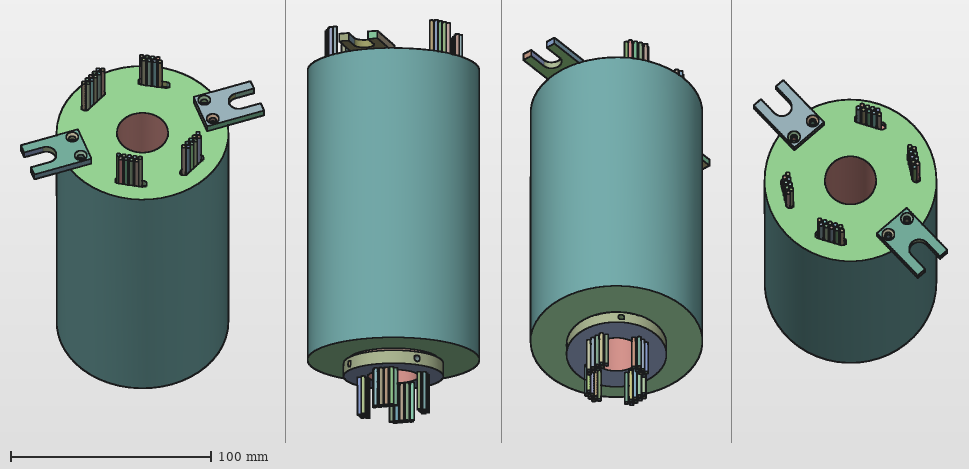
import cadquery as cq
import math

BODY_DIAMETER = 86.0
BODY_HEIGHT = 150.0
BORE_DIAMETER = 25.5

NECK_DIAMETER = 45.0
NECK_HEIGHT = 1.8
COLLAR_DIAMETER = 50.0
COLLAR_HEIGHT = 6.7
COLLAR_BOTTOM = -NECK_HEIGHT - COLLAR_HEIGHT

SET_SCREW_DIAMETER = 3.1
SET_SCREW_DEPTH = 6.0
SET_SCREW_ANGLES = (45, 135, 225, 315)

TAB_WIDTH = 20.0
TAB_LENGTH = 30.3
TAB_THICKNESS = 4.0
TAB_REACH = 61.0
TAB_ANGLES = (0, 180)
FORK_WIDTH = 10.0
FORK_DEPTH = 15.0

TAB_SCREW_SPACING = 12.5
TAB_SCREW_RADIUS = 35.0
SCREW_HOLE_DIAMETER = 3.3
COUNTERSINK_DIAMETER = 6.1
COUNTERSINK_ANGLE = 90
TAPPED_HOLE_DIAMETER = 2.5
TAPPED_HOLE_DEPTH = 7.9
DRILL_TIP_ANGLE = 118

SLOT_LENGTH = 16.1
SLOT_WIDTH = 4.0
SLOT_DEPTH = 4.0
SLOT_RADIUS = 32.3

WIRE_DIAMETER = 2.0
WIRE_STEP = 1.4

UPPER_BUNDLES = [(30, 9, 0.4), (150, 8, 1.5), (210, 10, 0.0), (330, 9, -1.0)]
UPPER_WIRE_LENGTH = 19.0
UPPER_ROW_GAP = 1.87

LOWER_BUNDLES = [(0, 7), (90, 9), (180, 7), (270, 9)]
LOWER_WIRE_LENGTH = 19.3
LOWER_ROW_GAP = 2.4
LOWER_BUNDLE_RADIUS = 15.7


def at_height(z):
    return cq.Workplane("XY").workplane(offset=z)


def turned(shape, angle):
    """The shape turned around the Z axis."""
    return shape.rotate((0, 0, 0), (0, 0, 1), angle)


def body_and_collar():
    body = at_height(0).circle(BODY_DIAMETER / 2).extrude(BODY_HEIGHT)
    neck = at_height(-NECK_HEIGHT).circle(NECK_DIAMETER / 2).extrude(NECK_HEIGHT)
    collar = at_height(COLLAR_BOTTOM).circle(COLLAR_DIAMETER / 2).extrude(COLLAR_HEIGHT)
    bore_length = BODY_HEIGHT - COLLAR_BOTTOM
    bore = at_height(COLLAR_BOTTOM).circle(BORE_DIAMETER / 2).extrude(bore_length)
    return body.union(neck).union(collar).cut(bore)


def set_screw_hole():
    """Radial hole at mid-height of the collar, on the +X side."""
    return (
        cq.Workplane("YZ")
        .workplane(offset=COLLAR_DIAMETER / 2 - SET_SCREW_DEPTH)
        .center(0, COLLAR_BOTTOM + COLLAR_HEIGHT / 2)
        .circle(SET_SCREW_DIAMETER / 2)
        .extrude(SET_SCREW_DEPTH)
    )


def mounting_tab():
    """Tab on the +Y side, its fork open outwards."""
    plate = (
        at_height(BODY_HEIGHT)
        .center(0, TAB_REACH - TAB_LENGTH / 2)
        .rect(TAB_WIDTH, TAB_LENGTH)
        .extrude(TAB_THICKNESS)
    )
    fork = (
        at_height(BODY_HEIGHT)
        .center(0, TAB_REACH)
        .slot2D(2 * FORK_DEPTH, FORK_WIDTH, 90)
        .extrude(TAB_THICKNESS)
    )
    return (
        plate.cut(fork)
        .faces(">Z")
        .workplane(origin=(0, TAB_SCREW_RADIUS, 0))
        .pushPoints([(-TAB_SCREW_SPACING / 2, 0), (TAB_SCREW_SPACING / 2, 0)])
        .cskHole(SCREW_HOLE_DIAMETER, COUNTERSINK_DIAMETER, COUNTERSINK_ANGLE)
    )


def tapped_holes():
    """Pair of holes with pointed ends in the body, under the screw holes of the +Y tab."""
    radius = TAPPED_HOLE_DIAMETER / 2
    tip_length = radius / math.tan(math.radians(DRILL_TIP_ANGLE / 2))
    shoulder = BODY_HEIGHT - TAPPED_HOLE_DEPTH
    hole = (
        cq.Workplane("XZ")
        .moveTo(0, BODY_HEIGHT)
        .lineTo(radius, BODY_HEIGHT)
        .lineTo(radius, shoulder)
        .lineTo(0, shoulder - tip_length)
        .close()
        .revolve(360, (0, 0, 0), (0, 1, 0))
    )
    left = hole.translate((-TAB_SCREW_SPACING / 2, TAB_SCREW_RADIUS, 0))
    right = hole.translate((TAB_SCREW_SPACING / 2, TAB_SCREW_RADIUS, 0))
    return left.union(right)


def wire_slot():
    """Round-ended slot on the +X side, running along Y."""
    return (
        at_height(BODY_HEIGHT - SLOT_DEPTH)
        .center(SLOT_RADIUS, 0)
        .slot2D(SLOT_LENGTH, SLOT_WIDTH, 90)
        .extrude(SLOT_DEPTH)
    )


def zigzag_points(radius, row_gap, count, shift=0):
    """Wire centres of a zigzag bundle on the +X side, running along Y."""
    points = []
    for i in range(count):
        side = 1 if i % 2 else -1
        along = (i - (count - 1) / 2) * WIRE_STEP
        points.append((radius + side * row_gap / 2, along + shift))
    return points


def wires(points, bottom, length):
    return at_height(bottom).pushPoints(points).circle(WIRE_DIAMETER / 2).extrude(length)


result = body_and_collar()

for angle in SET_SCREW_ANGLES:
    result = result.cut(turned(set_screw_hole(), angle))

for angle in TAB_ANGLES:
    result = result.union(turned(mounting_tab(), angle))
    result = result.cut(turned(tapped_holes(), angle))

slot_floor = BODY_HEIGHT - SLOT_DEPTH
for angle, count, shift in UPPER_BUNDLES:
    points = zigzag_points(SLOT_RADIUS, UPPER_ROW_GAP, count, shift)
    bundle = wires(points, slot_floor, SLOT_DEPTH + UPPER_WIRE_LENGTH)
    result = result.cut(turned(wire_slot(), angle))
    result = result.union(turned(bundle, angle))

for angle, count in LOWER_BUNDLES:
    points = zigzag_points(LOWER_BUNDLE_RADIUS, LOWER_ROW_GAP, count)
    bundle = wires(points, COLLAR_BOTTOM - LOWER_WIRE_LENGTH, LOWER_WIRE_LENGTH)
    result = result.union(turned(bundle, angle))